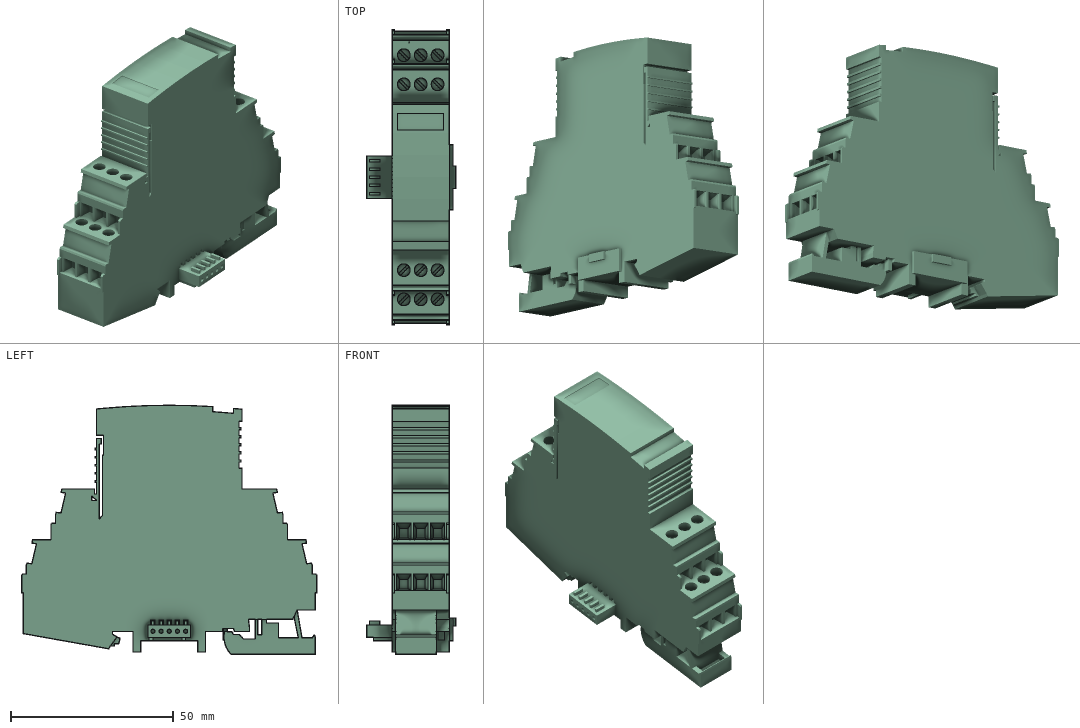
import cadquery as cq

overall_x, overall_y, overall_z = 27.48, 91.05, 76.85
top_z = overall_z / 2
bottom_z = -overall_z / 2
body_width = 17.66
body_x0 = -5.92
body_x1 = body_x0 + body_width
body_mid_x = (body_x0 + body_x1) / 2
housing_half = 45.05

level_count = 2
level_run, level_drop = 9.0, 15.65
deck_z = 12.6
lip_reach, lip_drop = 33.15, 1.1
lip_flare = 0.25
neck_reach = 32.0
neck_foot_reach = 33.4
bead_drop = 7.2
bead_lead = 0.2
bead_chamfer_run, bead_chamfer_drop = 0.25, 0.6
entry_reach = 35.1

pole_count, pole_pitch = 3, 5.2
entry_drop, entry_height, entry_width = 10.55, 5.1, 4.4
window_width, window_height = 2.6, 2.9
window_offset = 0.5
entry_mouth_depth, entry_taper_depth = 1.2, 2.0
screw_reach, screw_diameter, screw_depth = 28.65, 3.9, 3.0
screw_slot_width, screw_slot_depth = 0.8, 0.6
screw_slot_angle = 45
cheek_thickness = 0.8
cheek_reach = overall_y / 2 - level_run
cheek_lead = 0.4
lower_cheek_tail = 0.8

plug_half = 22.45
crown_drop = 1.15
crown_pitch = 6.75
crown_rear_break = 19.7
notch_front, notch_rear = 19.8, 13.45
notch_front_z, notch_rear_z = 35.95, 36.45
brow_z, brow_front_z = 37.45, 37.2
grip_top_z, grip_bottom_z, grip_recess = 33.4, 19.0, 0.9
grip_rib_count, grip_rib_pitch, grip_rib_top_z = 5, 2.48, 31.5
grip_rib_height, grip_rib_depth = 0.7, 0.6
label_x0, label_x1 = -4.2, 10.0
label_y0, label_y1 = 14.6, 19.6
label_depth = 0.2

arm_thickness = 0.9
arm_inner_y = plug_half - arm_thickness
arm_top_z, arm_gap_top_z = 28.2, 29.1
arm_head_y, arm_head_z = 20.95, 26.4
arm_gap_upper_y, arm_gap_y, arm_gap_step_z = 20.35, 20.65, 23.0
arm_root_z, arm_root_slant_z = 3.4, 4.4
arm_rib_count, arm_rib_pitch, arm_rib_z = 5, 2.5, 24.9
arm_rib_height, arm_rib_depth = 0.5, 0.5
tower_gap, tower_gap_floor_z = 0.6, 11.1
catch_y, catch_upper_z, catch_lower_z = 23.85, 10.3, 9.1

front_base_z, rear_base_z = -24.75, -32.05
relief_y, relief_slant_y, relief_z = -24.75, -38.1, -27.65
relief_lean, relief_lean_z = 0.3, -29.9
strut_root_y = -39.4
rail_face_z = -31.45
latch_recess_y0, latch_recess_y1, latch_recess_z = -19.8, -16.55, -30.5
latch_recess_lead = 0.3
hook_y, hook_top_z = 17.5, -32.2
hook_nose_y, hook_nose_z = 16.1, -33.05
hook_heel_y, hook_heel_z = 18.2, -35.9
hook_tip_y, hook_tip_z = 18.65, -36.75
barb_crest_y, barb_crest_z, barb_crest_height = 15.2, -33.45, 0.45
barb_under_y, barb_under_z, barb_heel_y = 15.6, -35.2, 16.9

foot_x0, foot_x1 = -4.8, 7.75
foot_deck_z = -33.25
foot_lip_root_y, foot_lip_z = -44.1, -32.5
foot_lip_outer_y, foot_lip_inner_y, foot_brow_z = -44.85, -44.65, -33.1
foot_pocket_wall, foot_pocket_depth = 1.7, 2.5
strut_foot_y, strut_foot_thickness = -40.95, 1.2
strut_top_front_y, strut_top_rear_y = -39.5, -39.0
strut_rear_y, strut_rise = -38.5, 0.5
block_front_y, block_neck_y, block_top_z = -33.7, -30.0, -28.75
post_slot_front_y, post_slot_rear_y, post_rear_y = -28.45, -27.35, -26.45
post_slot_z = -32.3
throat_rear_y, throat_z = -22.9, -33.65
jaw_step_front_y, jaw_step_rear_y, jaw_step_z = -21.6, -19.8, -32.25
jaw_front_y, jaw_tip_y, jaw_end_y = -19.3, -17.1, -19.1
jaw_bulge = (-17.1, -35.0)
peg_x0, peg_x1 = 8.25, 10.3
peg_y0, peg_y1, peg_z0 = -17.9, -16.65, -34.0

bus_half, bus_leg_inner, bus_tongue_half = 11.2, 8.75, 7.3
bus_tongue_z, bus_shoulder_z = -24.4, -29.3
bus_base_z, bus_leg_z = -34.25, -37.75
socket_half, socket_reach, socket_top_z = 10.05, 12.9, -27.2
key_half, key_z0 = 3.5, -29.7
plug_shell_half, plug_shell_z0 = 6.6, -33.15
contact_count, contact_pitch = 5, 2.52
contact_x0, contact_x1 = -12.9, -9.7
contact_width, contact_top_z = 0.8, -28.1
contact_hole_diameter, contact_hole_depth, contact_hole_z = 1.25, 3.0, -31.3
contact_slot_width, contact_slot_depth, contact_slot_top_z = 1.4, 1.0, -27.9
stud_x0, stud_width = -11.7, 1.15
stud_centres = (5.65, -4.5)


def box(x0, x1, y0, y1, z0, z1):
    """Block between opposite corners."""
    return cq.Workplane("XY").box(x1 - x0, y1 - y0, z1 - z0, centered=False).translate((x0, y0, z0))


def slab(points, x0=body_x0, x1=body_x1):
    """Extrude an outline of (y, z) points from x0 to x1."""
    return cq.Workplane("YZ").polyline(points).close().extrude(x1 - x0).translate((x0, 0, 0))


def level_origin(level):
    """Outward and vertical shift of a terminal level."""
    return level * level_run, -level * level_drop


def terminal_steps():
    """Stepped end outline as (distance outward, z), from the top deck down."""
    points = []
    for level in range(level_count):
        out, down = level_origin(level)
        z = deck_z + down
        points += [
            (out + lip_reach, z),
            (out + lip_reach + lip_flare, z - lip_drop),
            (out + neck_reach, z - lip_drop - bead_lead),
            (out + neck_foot_reach, z - bead_drop - bead_lead),
            (out + entry_reach - bead_chamfer_run, z - bead_drop),
            (out + entry_reach, z - bead_drop - bead_chamfer_drop),
            (out + entry_reach, z - level_drop),
        ]
    points.append((housing_half, deck_z - level_count * level_drop))
    return points


def housing():
    steps = terminal_steps()
    front_end = [(-d, z) for d, z in steps]
    rear_end = [(d, z) for d, z in reversed(steps)]
    front_underside = [
        (-housing_half, front_base_z),
        (strut_root_y, front_base_z),
        (relief_slant_y, relief_z),
        (relief_y + relief_lean, relief_z),
        (relief_y, relief_lean_z),
        (relief_y, rail_face_z),
        (latch_recess_y0 - latch_recess_lead, rail_face_z),
        (latch_recess_y0, latch_recess_z),
        (latch_recess_y1, latch_recess_z),
        (latch_recess_y1, rail_face_z),
    ]
    rail_hook = [
        (hook_y, rail_face_z),
        (hook_y, hook_top_z),
        (hook_nose_y, hook_nose_z),
        (hook_heel_y, hook_heel_z),
        (hook_tip_y, hook_tip_z),
    ]
    body = slab(front_end + front_underside + rail_hook + [(housing_half, rear_base_z)] + rear_end)
    barb = slab([
        (hook_nose_y, hook_nose_z),
        (barb_crest_y, barb_crest_z),
        (barb_crest_y, barb_crest_z - barb_crest_height),
        (barb_under_y, barb_under_z),
        (barb_heel_y, barb_under_z),
        (barb_heel_y, hook_heel_z),
        (hook_heel_y, hook_heel_z),
    ], foot_x0, foot_x1)
    return body.union(barb)


def plug_block():
    def crown(y):
        return top_z - crown_drop * (y / plug_half) ** 2

    facets = [-notch_rear] + [i * crown_pitch for i in (-1, 0, 1, 2)] + [crown_rear_break, plug_half]
    recess_y = -plug_half + grip_recess
    outline = [(y, crown(y)) for y in facets] + [
        (plug_half, 0),
        (-plug_half, 0),
        (-plug_half, grip_bottom_z),
        (recess_y, grip_bottom_z),
        (recess_y, grip_top_z),
        (-plug_half, grip_top_z),
        (-plug_half, brow_front_z),
        (-notch_front, brow_z),
        (-notch_front, notch_front_z),
        (-notch_rear, notch_rear_z),
    ]
    block = slab(outline)
    for i in range(grip_rib_count):
        z = grip_rib_top_z - i * grip_rib_pitch
        block = block.union(
            box(body_x0, body_x1, recess_y - grip_rib_depth, recess_y, z - grip_rib_height, z)
        )
    field = [
        (label_y0, crown(label_y0) - label_depth),
        (label_y1, crown(label_y1) - label_depth),
        (label_y1, top_z),
        (label_y0, top_z),
    ]
    return block.cut(slab(field, label_x0, label_x1))


def spring_arm_gap():
    """Clearance that frees the rear spring arm from the plug block and the rear tower."""
    slot = slab([
        (plug_half, arm_gap_top_z),
        (arm_gap_upper_y, arm_gap_top_z),
        (arm_gap_upper_y, arm_gap_step_z),
        (arm_gap_y, arm_gap_step_z),
        (arm_gap_y, arm_root_slant_z),
        (arm_inner_y, arm_root_z),
        (arm_inner_y, arm_head_z),
        (arm_head_y, arm_head_z),
        (arm_head_y, arm_top_z),
        (plug_half, arm_top_z),
    ])
    tower_slot = box(body_x0, body_x1, plug_half, plug_half + tower_gap, tower_gap_floor_z, deck_z)
    catch_slot = slab([(catch_y, catch_upper_z), (catch_y, catch_lower_z), (plug_half, catch_lower_z)])
    return slot.union(tower_slot).union(catch_slot)


def spring_arm_ribs():
    ribs = cq.Workplane("XY")
    for i in range(arm_rib_count):
        z = arm_rib_z - i * arm_rib_pitch
        ribs = ribs.union(box(body_x0, body_x1, plug_half, plug_half + arm_rib_depth,
                              z - arm_rib_height / 2, z + arm_rib_height / 2))
    return ribs


def pole_positions():
    return [body_mid_x + (i - (pole_count - 1) / 2) * pole_pitch for i in range(pole_count)]


def wire_entry(x, level):
    """Cutter for one wire entry at the front (-Y) end: a square mouth tapering to its window."""
    out, down = level_origin(level)
    z0 = deck_z + down - level_drop
    mouth_z = z0 + entry_height / 2
    window_z = z0 + window_offset + window_height / 2
    face_y = -(out + entry_reach)
    taper_y = face_y + entry_mouth_depth
    mouth = box(x - entry_width / 2, x + entry_width / 2, face_y, taper_y, z0, z0 + entry_height)
    taper = (
        cq.Workplane("XZ", origin=(x, taper_y, mouth_z)).rect(entry_width, entry_height)
        .workplane(offset=-entry_taper_depth)
        .center(0, window_z - mouth_z).rect(window_width, window_height)
        .loft(ruled=True)
    )
    return mouth.union(taper)


def screw(x, y, deck, slot_angle):
    """Cutter for a screw well with a slotted head at its bottom."""
    floor = deck - screw_depth
    well = cq.Workplane("XY", origin=(x, y, floor)).circle(screw_diameter / 2).extrude(screw_depth)
    slot = (
        cq.Workplane("XY", origin=(x, y, floor - screw_slot_depth))
        .transformed(rotate=(0, 0, slot_angle))
        .rect(screw_diameter, screw_slot_width).extrude(screw_slot_depth)
    )
    head = cq.Workplane("XY", origin=(x, y, floor - screw_slot_depth)).circle(screw_diameter / 2)
    return well.union(slot.intersect(head.extrude(screw_slot_depth)))


def terminal_cuts():
    cuts = cq.Workplane("XY")
    for level in range(level_count):
        out, down = level_origin(level)
        for x in pole_positions():
            entry = wire_entry(x, level)
            cuts = cuts.union(entry).union(entry.mirror("XZ"))
            for side in (-1, 1):
                y = side * (out + screw_reach)
                cuts = cuts.union(screw(x, y, deck_z + down, -side * screw_slot_angle))
    return cuts


def cheeks():
    """Thin side walls standing proud of the wire-entry faces."""
    walls = cq.Workplane("XY")
    for level in range(level_count):
        out, down = level_origin(level)
        tail = lower_cheek_tail if level == level_count - 1 else 0
        inner = out + entry_reach - cheek_thickness
        outer = out + cheek_reach
        z1 = deck_z + down - entry_drop
        z0 = deck_z + down - level_drop - tail
        for side in (-1, 1):
            outline = [
                (side * inner, z0),
                (side * outer, z0),
                (side * outer, z1 - cheek_lead),
                (side * (outer - cheek_lead), z1),
                (side * inner, z1),
            ]
            walls = walls.union(slab(outline, body_x0, body_x0 + cheek_thickness))
            walls = walls.union(slab(outline, body_x1 - cheek_thickness, body_x1))
    return walls


def rail_foot():
    """Sliding foot with its two guide posts, jaw and slanted spring strut."""
    foot = (
        cq.Workplane("YZ")
        .moveTo(-housing_half, bottom_z)
        .lineTo(-housing_half, foot_brow_z)
        .lineTo(foot_lip_outer_y, foot_lip_z)
        .lineTo(foot_lip_inner_y, foot_lip_z)
        .lineTo(foot_lip_root_y, foot_deck_z)
        .lineTo(block_front_y, foot_deck_z)
        .lineTo(block_front_y, block_top_z)
        .lineTo(block_neck_y, block_top_z)
        .lineTo(block_neck_y, relief_z)
        .lineTo(post_slot_front_y, relief_z)
        .lineTo(post_slot_front_y, post_slot_z)
        .lineTo(post_slot_rear_y, post_slot_z)
        .lineTo(post_slot_rear_y, relief_z)
        .lineTo(post_rear_y, relief_z)
        .lineTo(post_rear_y, throat_z)
        .lineTo(throat_rear_y, throat_z)
        .lineTo(jaw_step_front_y, jaw_step_z)
        .lineTo(jaw_step_rear_y, jaw_step_z)
        .lineTo(jaw_front_y, rail_face_z)
        .lineTo(jaw_tip_y, rail_face_z)
        .threePointArc(jaw_bulge, (jaw_end_y, bottom_z))
        .close()
        .extrude(foot_x1 - foot_x0)
        .translate((foot_x0, 0, 0))
    )
    strut = slab([
        (strut_foot_y + strut_foot_thickness, foot_deck_z),
        (strut_foot_y, foot_deck_z),
        (strut_top_front_y, front_base_z),
        (strut_top_rear_y, front_base_z),
        (strut_rear_y, relief_z + strut_rise),
    ], foot_x0, foot_x1)
    peg = box(peg_x0, peg_x1, peg_y0, peg_y1, peg_z0, latch_recess_z)
    release_pocket = box(foot_x0 + foot_pocket_wall, foot_x1 - foot_pocket_wall,
                         foot_lip_root_y, strut_foot_y,
                         foot_deck_z - foot_pocket_depth, foot_deck_z)
    return foot.cut(release_pocket).union(strut).union(peg)


def bus_connector():
    saddle = slab([
        (-bus_half, bus_leg_z),
        (-bus_leg_inner, bus_leg_z),
        (-bus_leg_inner, bus_base_z),
        (bus_leg_inner, bus_base_z),
        (bus_leg_inner, bus_leg_z),
        (bus_half, bus_leg_z),
        (bus_half, bus_shoulder_z),
        (bus_tongue_half, bus_shoulder_z),
        (bus_tongue_half, bus_tongue_z),
        (-bus_tongue_half, bus_tongue_z),
        (-bus_tongue_half, bus_shoulder_z),
        (-bus_half, bus_shoulder_z),
    ])
    socket = box(body_x1, socket_reach, -socket_half, socket_half, bus_base_z, socket_top_z)
    key = box(socket_reach, overall_x / 2, -key_half, key_half, key_z0, socket_top_z)
    shell = box(-overall_x / 2, body_x0, -plug_shell_half, plug_shell_half, plug_shell_z0, bus_shoulder_z)
    connector = saddle.union(socket).union(key).union(shell)
    for y in stud_centres:
        connector = connector.union(
            box(stud_x0, body_x0, y - stud_width / 2, y + stud_width / 2, bus_base_z, plug_shell_z0)
        )
    for y in contact_positions():
        connector = connector.union(
            box(contact_x0, contact_x1, y - contact_width / 2, y + contact_width / 2,
                bus_shoulder_z, contact_top_z)
        )
    return connector


def contact_positions():
    return [(i - (contact_count - 1) / 2) * contact_pitch for i in range(contact_count)]


def contact_cuts():
    """Round holes in the plug end and slots in the housing side above the plug."""
    cuts = cq.Workplane("XY")
    for y in contact_positions():
        hole = (
            cq.Workplane("YZ", origin=(-overall_x / 2, y, contact_hole_z))
            .circle(contact_hole_diameter / 2).extrude(contact_hole_depth)
        )
        slot = box(body_x0, body_x0 + contact_slot_depth, y - contact_slot_width / 2,
                   y + contact_slot_width / 2, bus_shoulder_z, contact_slot_top_z)
        cuts = cuts.union(hole).union(slot)
    return cuts


part = housing().union(plug_block())
part = part.cut(spring_arm_gap()).union(spring_arm_ribs())
part = part.cut(terminal_cuts()).union(cheeks())
part = part.union(rail_foot()).union(bus_connector())
result = part.cut(contact_cuts())